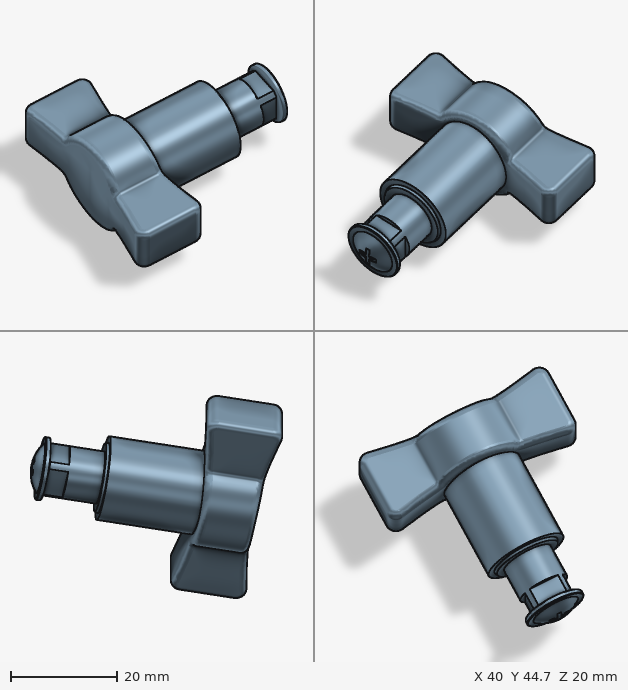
import cadquery as cq
import math

knob_length = 40.0
hub_diameter = 20.0
wing_thickness = 10.0
hub_depth = 10.55
wing_angle = 10
bow_radius = 75
tip_radius = 2.0
root_radius = 1.25
edge_radius = 1.47

body_diameter = 16.0
body_end = 23.65
collar_base_diameter = 13.5
collar_top_diameter = 13.0
collar_height = 0.6
spigot_diameter = 10.0
spigot_length = 6.65
square_width = 8.0
square_length = 3.6
neck_diameter = 3.75
neck_length = 0.22

flange_diameter = 12.0
flange_thickness = 1.0
flange_under_radius = 0.25
flange_top_chamfer = 0.15
dome_radius = 7.5
slot_width = 0.85
slot_depth = 0.25
total_length = 44.65

slope = math.radians(wing_angle)
bow_half_width = bow_radius * math.sin(slope)
bow_edge_y = hub_depth / 2 + bow_radius * (1 - math.cos(slope))
tip_center_x = knob_length / 2 - tip_radius
tip_start_x = tip_center_x - tip_radius * math.sin(slope)
tip_start_y = bow_edge_y + (tip_start_x - bow_half_width) * math.tan(slope)
tip_center_y = tip_start_y - tip_radius * math.cos(slope)
tip_mid_angle = (math.pi / 2 + slope) / 2
tip_mid_x = tip_center_x + tip_radius * math.cos(tip_mid_angle)
tip_mid_y = tip_center_y + tip_radius * math.sin(tip_mid_angle)
knob_half_depth = tip_center_y + tip_radius

collar_end = body_end + collar_height
spigot_end = collar_end + spigot_length
square_end = spigot_end + square_length
neck_end = square_end + neck_length
flange_end = neck_end + flange_thickness
dome_end = total_length - knob_half_depth
peak_radius = slot_width / math.sqrt(2)
dome_center_y = dome_end - math.sqrt(dome_radius ** 2 - peak_radius ** 2)
dome_crown_y = dome_center_y + dome_radius
dome_base_radius = math.sqrt(dome_radius ** 2 - (flange_end - dome_center_y) ** 2)


def face_plane(y):
    """Plane across the axis at y, facing +Y."""
    return cq.Workplane("XZ", origin=(0, y, 0)).transformed(rotate=(180, 0, 0))


def disc(diameter, start, end):
    return face_plane(start).circle(diameter / 2).extrude(end - start)


def make_knob():
    hub = disc(hub_diameter, -knob_half_depth, knob_half_depth)
    wings = cq.Workplane("XY").box(knob_length, 2 * knob_half_depth, wing_thickness)
    root_corners = cq.selectors.BoxSelector(
        (-hub_diameter / 2, -knob_half_depth, -hub_diameter / 2),
        (hub_diameter / 2, knob_half_depth, hub_diameter / 2),
    )
    outline = hub.union(wings).edges("|Y").edges(root_corners).fillet(root_radius)
    bow = [
        (-tip_start_x, tip_start_y),
        (-bow_half_width, bow_edge_y),
        (0, hub_depth / 2),
        (bow_half_width, bow_edge_y),
        (tip_start_x, tip_start_y),
    ]
    falling = (math.cos(slope), -math.sin(slope))
    rising = (math.cos(slope), math.sin(slope))
    half_length = knob_length / 2
    bow_tie = (
        cq.Workplane("XY", origin=(0, 0, -hub_diameter / 2))
        .moveTo(*bow[0])
        .spline(bow[1:], tangents=[falling, rising], includeCurrent=True)
        .threePointArc((tip_mid_x, tip_mid_y), (half_length, tip_center_y))
        .lineTo(half_length, -tip_center_y)
        .threePointArc((tip_mid_x, -tip_mid_y), (tip_start_x, -tip_start_y))
        .spline(
            [(-x, -y) for x, y in bow[1:]],
            tangents=[(-x, -y) for x, y in (falling, rising)],
            includeCurrent=True,
        )
        .threePointArc((-tip_mid_x, -tip_mid_y), (-half_length, -tip_center_y))
        .lineTo(-half_length, tip_center_y)
        .threePointArc((-tip_mid_x, tip_mid_y), (-tip_start_x, tip_start_y))
        .close()
        .extrude(hub_diameter)
    )
    knob = outline.intersect(bow_tie)
    sharp_edges = knob.edges("not(|Z or |Y)").add(knob.edges("|Y").edges("<X or >X"))
    return sharp_edges.fillet(edge_radius)


def make_shaft():
    body = disc(body_diameter, 0, body_end)
    collar = (
        face_plane(body_end)
        .circle(collar_base_diameter / 2)
        .workplane(offset=collar_height)
        .circle(collar_top_diameter / 2)
        .loft()
    )
    spigot = disc(spigot_diameter, collar_end, spigot_end)
    square = face_plane(spigot_end).rect(square_width, square_width).extrude(square_length)
    square = square.intersect(disc(spigot_diameter, spigot_end, square_end))
    neck = disc(neck_diameter, square_end, neck_end)
    return body.union(collar).union(spigot).union(square).union(neck)


def make_screw_head():
    flange = disc(flange_diameter, neck_end, flange_end)
    flange = flange.edges("<Y").fillet(flange_under_radius).edges(">Y").chamfer(flange_top_chamfer)
    dome = (
        cq.Workplane("XY")
        .moveTo(0, flange_end)
        .lineTo(dome_base_radius, flange_end)
        .radiusArc((0, dome_crown_y), -dome_radius)
        .close()
        .revolve(360, (0, 0, 0), (0, 1, 0))
    )
    slot_length = 2 * dome_base_radius
    slot_middle = cq.Workplane("XY", origin=(0, dome_end, 0))
    slots = [
        slot_middle.box(slot_length, 2 * slot_depth, slot_width),
        slot_middle.box(slot_width, 2 * slot_depth, slot_length),
    ]
    for slot in slots:
        dome = dome.cut(slot)
    return flange.union(dome)


result = make_knob().union(make_shaft()).union(make_screw_head())